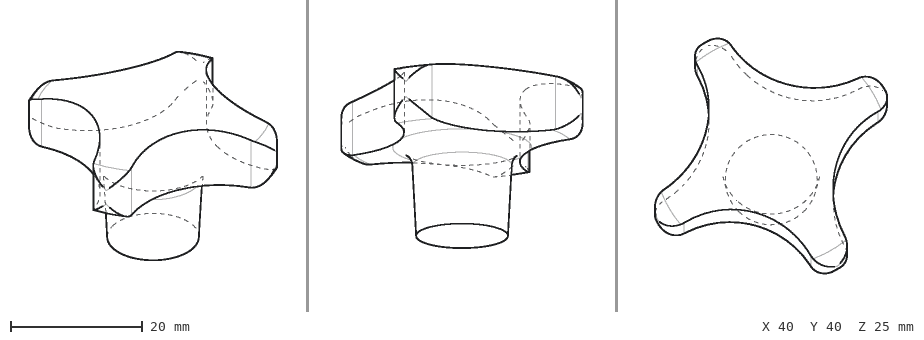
import cadquery as cq
import math

total_height = 25.0
tip_reach = 20.0
underside_height = 14.0
arm_count = 4

dome_radius = 60.0
rim_radius = 3.0
tip_radius = 3.0
scallop_radius = 14.5

hub_end_radius = 7.0
hub_draft = math.radians(3.0)
neck_radius = 3.0


def polar(radius, angle):
    return (radius * math.cos(angle), radius * math.sin(angle))


def revolve_about_z(profile):
    return profile.close().revolve(360, (0, 0, 0), (0, 1, 0))


def make_head_blank():
    """Domed disc whose rounded rim is tangent to the dome and to the underside."""
    rim_centre_x = tip_reach - rim_radius
    lower_centre_z = underside_height + rim_radius
    dome_centre_z = total_height - dome_radius
    dome_angle = math.asin(rim_centre_x / (dome_radius - rim_radius))
    upper_centre_z = dome_centre_z + (dome_radius - rim_radius) * math.cos(dome_angle)

    def on_dome(angle):
        return (dome_radius * math.sin(angle), dome_centre_z + dome_radius * math.cos(angle))

    def on_rim(centre_z, angle):
        x, z = polar(rim_radius, angle)
        return (rim_centre_x + x, centre_z + z)

    rim_top_angle = math.pi / 2 - dome_angle
    profile = (
        cq.Workplane("XZ")
        .moveTo(0, underside_height)
        .lineTo(rim_centre_x, underside_height)
        .threePointArc(on_rim(lower_centre_z, -math.pi / 4), on_rim(lower_centre_z, 0))
        .lineTo(tip_reach, upper_centre_z)
        .threePointArc(on_rim(upper_centre_z, rim_top_angle / 2), on_dome(dome_angle))
        .threePointArc(on_dome(dome_angle / 2), (0, total_height))
    )
    return revolve_about_z(profile)


def make_star_prism():
    """Plan outline: round arm ends joined tangentially by concave scallops."""
    tip_centre = tip_reach - tip_radius
    centre_spacing = scallop_radius + tip_radius
    scallop_centre = (tip_centre + math.sqrt(2 * centre_spacing**2 - tip_centre**2)) / 2
    tangent_x = tip_centre + tip_radius * (scallop_centre - tip_centre) / centre_spacing
    tangent_y = tip_radius * scallop_centre / centre_spacing
    tangent_distance = math.hypot(tangent_x, tangent_y)
    tangent_angle = math.atan2(tangent_y, tangent_x)
    valley_distance = math.sqrt(2) * scallop_centre - scallop_radius
    pitch = 2 * math.pi / arm_count

    outline = cq.Workplane("XY").moveTo(*polar(tangent_distance, -tangent_angle))
    for arm in range(arm_count):
        arm_angle = arm * pitch
        outline = outline.threePointArc(
            polar(tip_reach, arm_angle),
            polar(tangent_distance, arm_angle + tangent_angle),
        )
        outline = outline.threePointArc(
            polar(valley_distance, arm_angle + pitch / 2),
            polar(tangent_distance, arm_angle + pitch - tangent_angle),
        )
    return outline.close().extrude(total_height)


def make_hub():
    """Drafted hub that flares through the neck fillet into the underside."""
    neck_centre_z = underside_height - neck_radius
    neck_start_z = neck_centre_z + neck_radius * math.sin(hub_draft)
    neck_start_x = hub_end_radius + neck_start_z * math.tan(hub_draft)
    neck_centre_x = neck_start_x + neck_radius * math.cos(hub_draft)
    mid_x, mid_z = polar(neck_radius, (math.pi / 2 + math.pi - hub_draft) / 2)
    profile = (
        cq.Workplane("XZ")
        .lineTo(hub_end_radius, 0)
        .lineTo(neck_start_x, neck_start_z)
        .threePointArc(
            (neck_centre_x + mid_x, neck_centre_z + mid_z),
            (neck_centre_x, underside_height),
        )
        .lineTo(0, underside_height)
    )
    return revolve_about_z(profile)


star = make_star_prism()
head = make_head_blank().intersect(star)
hub = make_hub().intersect(star)
result = head.union(hub)